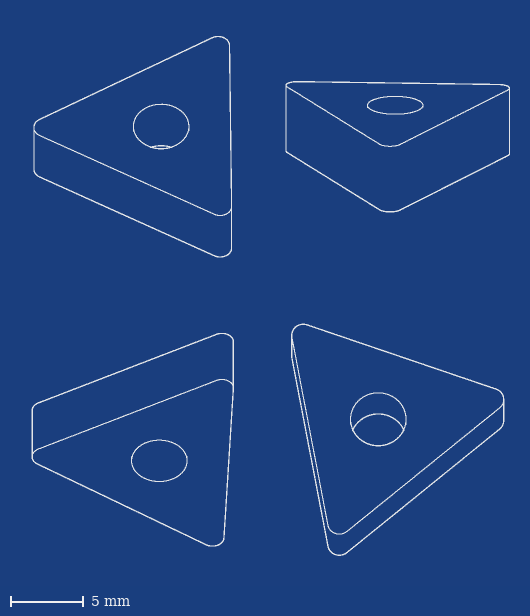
import cadquery as cq
import math

width = 15.34
thickness = 4.75
corner_radius = 0.8
hole_diameter = 3.8

arc_centre_spacing = width - 2 * corner_radius
arc_centre_inradius = arc_centre_spacing / (2 * math.sqrt(3))
inradius = arc_centre_inradius + corner_radius

half_side = inradius * math.sqrt(3)
sharp_corners = [
    (-half_side, -inradius),
    (half_side, -inradius),
    (0, 2 * inradius),
]

body = cq.Workplane("XY").polyline(sharp_corners).close().extrude(thickness)
body = body.edges("|Z").fillet(corner_radius)

result = body.faces(">Z").workplane(origin=(0, 0, thickness)).hole(hole_diameter)